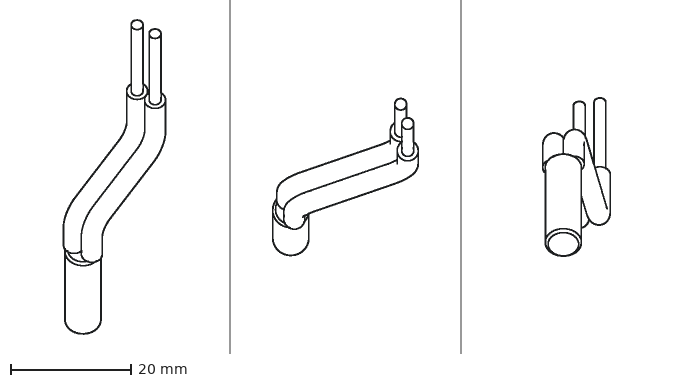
import cadquery as cq

body_diameter = 6.0
body_height = 20.0
body_chamfer = 0.45

sleeve_diameter = 3.5
sleeve_top = 40.0
lead_offset = sleeve_diameter / 2
lead_shift = 20.0
run_height = 28.0
bend_radius = 3.0

wire_diameter = 2.0
wire_top = 58.5


def make_body():
    body = cq.Workplane("XY").circle(body_diameter / 2).extrude(body_height)
    return body.edges("%CIRCLE").chamfer(body_chamfer)


def make_sleeve(x):
    """Sleeve swept up from the body, across in Y and up again."""
    path = (
        cq.Workplane("YZ", origin=(x, 0, 0))
        .moveTo(0, body_height)
        .lineTo(0, run_height - bend_radius)
        .radiusArc((bend_radius, run_height), bend_radius)
        .lineTo(lead_shift - bend_radius, run_height)
        .radiusArc((lead_shift, run_height + bend_radius), -bend_radius)
        .lineTo(lead_shift, sleeve_top)
    )
    profile = cq.Workplane("XY", origin=(x, 0, body_height)).circle(sleeve_diameter / 2)
    return profile.sweep(path)


def make_wire(x):
    """Bare wire standing on the upper end of a sleeve."""
    end_face = cq.Workplane("XY", origin=(x, lead_shift, sleeve_top))
    return end_face.circle(wire_diameter / 2).extrude(wire_top - sleeve_top)


result = make_body()
for lead_x in (-lead_offset, lead_offset):
    result = result.union(make_sleeve(lead_x)).union(make_wire(lead_x))